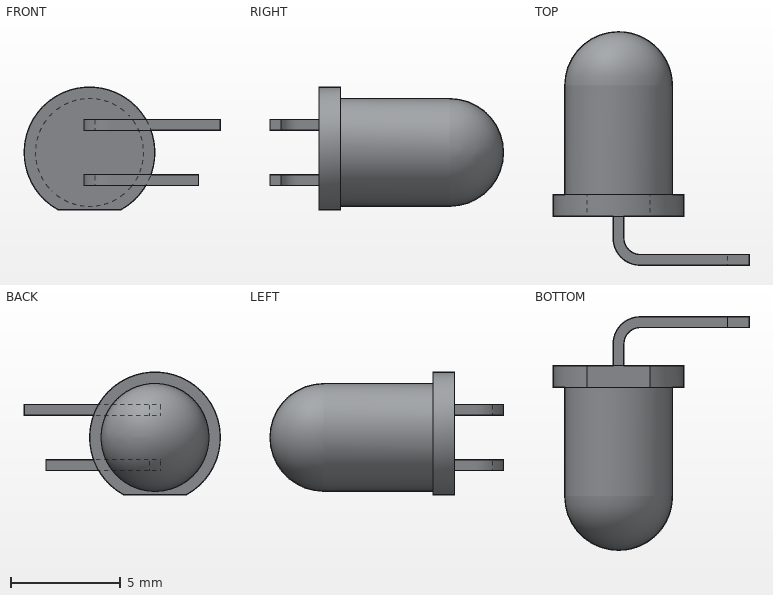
import cadquery as cq

total_length = 10.72

lens_radius = 2.48
lens_straight_length = 5.0

flange_radius = 3.0
flange_height = 5.64
flange_thickness = 1.0

lead_width = 0.5
lead_offset = 1.26
bend_outer_radius = 1.25
upper_lead_end = 6.0
lower_lead_end = 5.01

lens_base = flange_thickness
dome_base = lens_base + lens_straight_length
lead_depth = total_length - dome_base - lens_radius
bend_inner_radius = bend_outer_radius - lead_width


def make_lens():
    """Revolve the half profile of the cylinder and dome about the Y axis."""
    dome_tip = dome_base + lens_radius
    profile = (
        cq.Workplane("XY")
        .moveTo(0, lens_base)
        .lineTo(lens_radius, lens_base)
        .lineTo(lens_radius, dome_base)
        .radiusArc((0, dome_tip), -lens_radius)
        .close()
    )
    return profile.revolve(360, (0, 0, 0), (0, 1, 0))


def make_flange():
    """Disc trimmed to its height by a flat facing -Z."""
    disc = cq.Workplane("XZ").circle(flange_radius).extrude(-flange_thickness)
    trim = (
        cq.Workplane("XY")
        .box(2 * flange_radius, flange_thickness, flange_height, centered=(True, False, False))
        .translate((0, 0, flange_radius - flange_height))
    )
    return disc.intersect(trim)


def make_lead(end_x, center_z):
    """L-shaped lead leaving the flange along -Y and ending along +X."""
    near_x = -lead_width / 2
    bend_end_x = near_x + bend_outer_radius
    bend_start_y = bend_outer_radius - lead_depth
    return (
        cq.Workplane("XY")
        .workplane(offset=center_z - lead_width / 2)
        .moveTo(near_x, 0)
        .lineTo(near_x, bend_start_y)
        .radiusArc((bend_end_x, -lead_depth), -bend_outer_radius)
        .lineTo(end_x, -lead_depth)
        .lineTo(end_x, lead_width - lead_depth)
        .lineTo(bend_end_x, lead_width - lead_depth)
        .radiusArc((near_x + lead_width, bend_start_y), bend_inner_radius)
        .lineTo(near_x + lead_width, 0)
        .close()
        .extrude(lead_width)
    )


result = make_flange().union(make_lens())
for end_x, center_z in ((upper_lead_end, lead_offset), (lower_lead_end, -lead_offset)):
    result = result.union(make_lead(end_x, center_z))